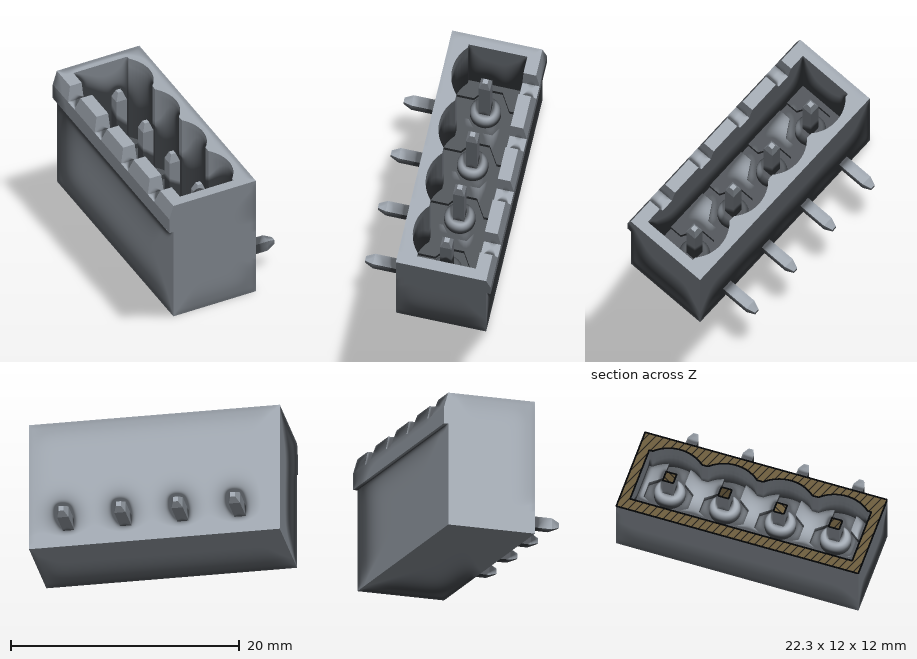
import cadquery as cq

contact_count = 4
contact_pitch = 5.1
contact_y = 4.3
contact_xs = [(i - (contact_count - 1) / 2) * contact_pitch for i in range(contact_count)]

housing_length = 22.32
housing_depth = 8.1
housing_height = 12.0
lip_overhang = 0.4
lip_height = 2.83
lip_bevel_height = 1.35

end_wall = 0.95
front_wall = 1.14
back_wall = 1.7
floor_thickness = 3.5
bay_chord = 4.53
bay_rise = 0.9
cavity_back_y = housing_depth - back_wall
cavity_depth = housing_height - floor_thickness

notch_top_width = 2.0
notch_bottom_width = 1.2
notch_depth = lip_bevel_height

channel_depth = 0.5
channel_front_width = 0.94
channel_middle_width = 4.1
channel_back_width = 2.0
channel_front_neck_y = contact_y - 2.03
channel_middle_front_y = contact_y - 1.07
channel_middle_back_y = contact_y + 0.45
channel_back_neck_y = contact_y + 1.27
channel_floor_z = floor_thickness - channel_depth

collar_diameter = 2.75
collar_height = 0.98
collar_rim_radius = 0.5

pin_width = 1.0
pin_tip_width = 0.45
pin_tip_length = 0.75
pin_tail_z = 2.0
pin_tail_overhang = 3.5
pin_top_z = housing_height - 1.3


def make_block():
    """Plain housing block with the bevelled lip, extruded along X."""
    return (
        cq.Workplane("YZ", origin=(-housing_length / 2, 0, 0))
        .moveTo(0, 0)
        .lineTo(housing_depth, 0)
        .lineTo(housing_depth, housing_height)
        .lineTo(0, housing_height)
        .lineTo(-lip_overhang, housing_height - lip_bevel_height)
        .lineTo(-lip_overhang, housing_height - lip_height)
        .lineTo(0, housing_height - lip_height)
        .close()
        .extrude(housing_length)
    )


def make_cavity():
    """Space inside the housing, with an arched bay behind each contact."""
    half_length = housing_length / 2 - end_wall
    outline = (
        cq.Workplane("XY", origin=(0, 0, floor_thickness))
        .moveTo(half_length, front_wall)
        .lineTo(-half_length, front_wall)
        .lineTo(-half_length, cavity_back_y)
    )
    for x in contact_xs:
        outline = outline.lineTo(x - bay_chord / 2, cavity_back_y).threePointArc(
            (x, cavity_back_y + bay_rise), (x + bay_chord / 2, cavity_back_y)
        )
    return outline.lineTo(half_length, cavity_back_y).close().extrude(cavity_depth)


def make_notch(x):
    """Tapered gap through the front wall and lip at one contact."""
    top_half = notch_top_width / 2
    bottom_half = notch_bottom_width / 2
    return (
        cq.Workplane("XZ", origin=(x, front_wall, housing_height))
        .polyline([(-top_half, 0), (top_half, 0), (bottom_half, -notch_depth), (-bottom_half, -notch_depth)])
        .close()
        .extrude(front_wall + lip_overhang)
    )


def make_channel(x, cavity):
    """Keyhole-shaped floor recess at one contact, ending at the curved wall of its bay."""
    right_side = [
        (channel_front_width / 2, front_wall),
        (channel_front_width / 2, channel_front_neck_y),
        (channel_middle_width / 2, channel_middle_front_y),
        (channel_middle_width / 2, channel_middle_back_y),
        (channel_back_width / 2, channel_back_neck_y),
        (channel_back_width / 2, cavity_back_y + bay_rise),
    ]
    left_side = [(-offset, y) for offset, y in reversed(right_side)]
    keyhole = (
        cq.Workplane("XY", origin=(x, 0, channel_floor_z))
        .polyline(right_side + left_side)
        .close()
        .extrude(channel_depth)
    )
    return keyhole.intersect(cavity.translate((0, 0, -channel_depth)))


def make_collar(x):
    """Rounded collar rising from the channel floor around one contact."""
    return (
        cq.Workplane("XY", origin=(x, contact_y, channel_floor_z))
        .circle(collar_diameter / 2)
        .extrude(collar_height)
        .faces(">Z")
        .edges()
        .fillet(collar_rim_radius)
    )


def make_leg(plane, length):
    """Square bar of the given total length along the plane's normal, tapered at its far end."""
    shank_length = length - pin_tip_length
    shank = cq.Workplane(plane).rect(pin_width, pin_width).extrude(shank_length)
    tip = (
        cq.Workplane(plane)
        .workplane(offset=shank_length)
        .rect(pin_width, pin_width)
        .workplane(offset=pin_tip_length)
        .rect(pin_tip_width, pin_tip_width)
        .loft(ruled=True)
    )
    return shank.union(tip)


def make_pin(x):
    """Right-angled contact: an upright leg in the cavity and a tail out of the back."""
    upright_foot_z = pin_tail_z - pin_width / 2
    tail_start_y = contact_y - pin_width / 2
    upright_plane = cq.Plane(origin=(x, contact_y, upright_foot_z), xDir=(1, 0, 0), normal=(0, 0, 1))
    tail_plane = cq.Plane(origin=(x, tail_start_y, pin_tail_z), xDir=(1, 0, 0), normal=(0, 1, 0))
    upright = make_leg(upright_plane, pin_top_z - upright_foot_z)
    tail = make_leg(tail_plane, housing_depth + pin_tail_overhang - tail_start_y)
    return upright.union(tail)


def make_housing(pins):
    """Moulded housing, with a passage that matches each pin."""
    cavity = make_cavity()
    housing = make_block().cut(cavity)
    for x, pin in zip(contact_xs, pins):
        housing = housing.cut(make_notch(x))
        housing = housing.cut(make_channel(x, cavity))
        housing = housing.union(make_collar(x))
        housing = housing.cut(pin)
    return housing


contact_pins = [make_pin(x) for x in contact_xs]
housing = make_housing(contact_pins)

result = cq.Compound.makeCompound([housing.val(), *[pin.val() for pin in contact_pins]])